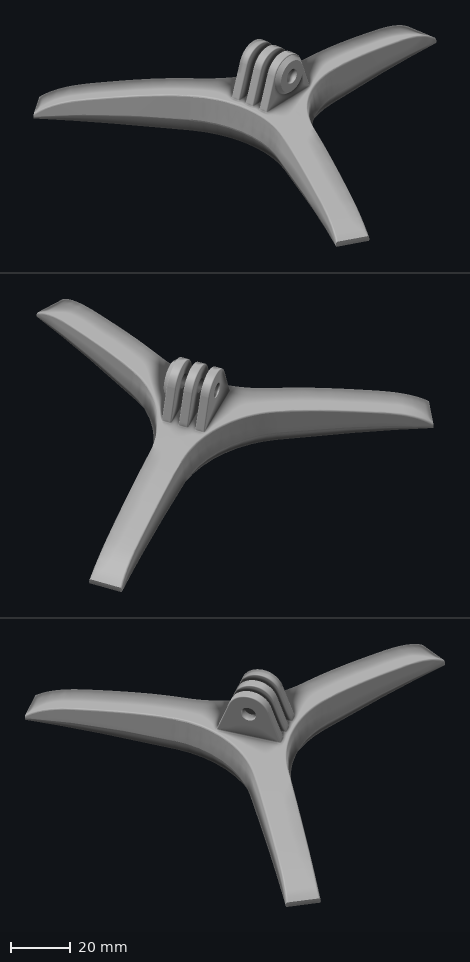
import cadquery as cq
import math

ARM_COUNT = 3
OVERALL_WIDTH = 143.8
TIP_HALF_WIDTH = 6.0
LOWER_ARM_SLOPE = math.pi / 2 - math.pi / ARM_COUNT
ARM_REACH = (OVERALL_WIDTH / 2 - TIP_HALF_WIDTH * math.sin(LOWER_ARM_SLOPE)) / math.cos(LOWER_ARM_SLOPE)
ARM_TAPER = math.radians(1.34)
CROTCH_RADIUS = 40.3
TIP_OVERRUN = 0.7

RIDGE_CENTRE_HEIGHT = 5.8
RIDGE_TIP_HEIGHT = 0.6
UPPER_DRAFT = math.radians(9)
LOWER_DRAFT = math.radians(26)
WALL_TOP = 17.3
RIDGE_FILLET = 1.0
RIM_FILLET = 0.7

DOME_HEIGHT = 15.0
DOME_PROFILE = [(0, DOME_HEIGHT), (35.7, 13.7), (59.1, 9.8), (72.0, 6.3), (80.5, 1.2)]
DOME_RIM_SLOPE = (1, -1)

TOTAL_HEIGHT = 32.0
LUG_COUNT = 3
LUG_PITCH = 6.0
LUG_THICKNESS = 3.3
LUG_RADIUS = 7.5
LUG_LEAN = math.radians(19.7)
LUG_ROOT = 13.0
LUG_EDGE_FILLET = 0.5
LUG_FOOT_FILLET = 0.5
PIVOT_HEIGHT = TOTAL_HEIGHT - LUG_RADIUS
PIN_DIAMETER = 5.3
LUG_FOOT_REACH = 12.2
BOSS_RADIUS = LUG_RADIUS - LUG_EDGE_FILLET
BOSS_LENGTH = 1.6
BOSS_TAPER = math.radians(40)
OUTER_LUG_X = LUG_PITCH * (LUG_COUNT - 1) / 2

POINTS_PER_STRETCH = 9

TOLERANCE = 0.07


def ridge_height(radius):
    """Height of the widest level of the walls at a distance from the centre."""
    drop = RIDGE_CENTRE_HEIGHT - RIDGE_TIP_HEIGHT
    return RIDGE_CENTRE_HEIGHT - drop * (radius / ARM_REACH) ** 3


def crotch_stretches():
    """Arm side, round, arm side between the two arms either side of -Y.

    Each stretch is a list of (x, y, angle), angle pointing out of the material.
    """
    half_sweep = LOWER_ARM_SLOPE - ARM_TAPER
    axis_half_width = TIP_HALF_WIDTH + ARM_REACH * math.tan(ARM_TAPER)
    apex = axis_half_width * math.cos(ARM_TAPER) / math.cos(half_sweep)
    centre_y = -apex - CROTCH_RADIUS / math.cos(half_sweep)
    steps = [i / (POINTS_PER_STRETCH - 1) for i in range(POINTS_PER_STRETCH)]

    arc = []
    for step in steps:
        angle = math.pi / 2 + half_sweep * (1 - 2 * step)
        x = CROTCH_RADIUS * math.cos(angle)
        y = centre_y + CROTCH_RADIUS * math.sin(angle)
        arc.append((x, y, angle + math.pi))

    start_x, start_y, normal = arc[0]
    direction = normal - math.pi / 2
    axis = -math.pi / 2 - math.pi / ARM_COUNT
    start_along = start_x * math.cos(axis) + start_y * math.sin(axis)
    length = (ARM_REACH + TIP_OVERRUN - start_along) / math.cos(ARM_TAPER)
    side = []
    for step in steps:
        run = length * (1 - step)
        x = start_x + run * math.cos(direction)
        y = start_y + run * math.sin(direction)
        side.append((x, y, normal))
    other_side = [(-x, y, math.pi - angle) for x, y, angle in reversed(side)]
    return [side, arc, other_side]


def at_ridge(x, y, angle):
    return cq.Vector(x, y, ridge_height(math.hypot(x, y)))


def at_base(x, y, angle):
    inset = ridge_height(math.hypot(x, y)) * math.tan(LOWER_DRAFT)
    return cq.Vector(x - inset * math.cos(angle), y - inset * math.sin(angle), 0)


def at_wall_top(x, y, angle):
    inset = (WALL_TOP - ridge_height(math.hypot(x, y))) * math.tan(UPPER_DRAFT)
    return cq.Vector(x - inset * math.cos(angle), y - inset * math.sin(angle), WALL_TOP)


def outline(level):
    """Closed outline of the foot at one level of its walls."""
    edges = []
    for crotch in range(ARM_COUNT):
        turn = 360 / ARM_COUNT * crotch
        for stretch in crotch_stretches():
            edge = cq.Edge.makeSpline([level(*point) for point in stretch])
            edges.append(edge.rotate(cq.Vector(), cq.Vector(0, 0, 1), turn))

    closed = []
    for edge, following in zip(edges, edges[1:] + edges[:1]):
        closed.append(edge)
        gap_start = edge.endPoint()
        gap_end = following.startPoint()
        if (gap_end - gap_start).Length > TIP_HALF_WIDTH:
            closed.append(cq.Edge.makeLine(gap_start, gap_end))
    return cq.Wire.assembleEdges(closed)


def make_dome():
    rim_radius = DOME_PROFILE[-1][0]
    return (
        cq.Workplane("XZ")
        .moveTo(*DOME_PROFILE[0])
        .spline(DOME_PROFILE[1:], tangents=[(1, 0), DOME_RIM_SLOPE], includeCurrent=True)
        .lineTo(rim_radius, 0)
        .lineTo(0, 0)
        .close()
        .revolve(360, (0, 0), (0, 1))
    )


def long_edges(shape):
    """Edges that run along the walls; those across a tip and the upright ones are shorter."""
    return [edge for edge in shape.Edges() if edge.Length() > 3 * TIP_HALF_WIDTH]


def is_on_ridge(edge):
    middle = edge.positionAt(0.5)
    offset = middle.z - ridge_height(math.hypot(middle.x, middle.y))
    return abs(offset) < TOLERANCE


def make_foot():
    levels = [outline(level) for level in (at_base, at_ridge, at_wall_top)]
    walls = cq.Solid.makeLoft(levels, True)
    ridges = [edge for edge in long_edges(walls) if is_on_ridge(edge)]
    walls = walls.fillet(RIDGE_FILLET, ridges)

    tip_trim = (
        cq.Workplane("XY")
        .polygon(ARM_COUNT, 2 * ARM_REACH / math.cos(math.pi / ARM_COUNT))
        .extrude(WALL_TOP)
        .rotate((0, 0, 0), (0, 0, 1), -90)
    )
    foot = cq.Workplane(walls).intersect(tip_trim).intersect(make_dome()).val()

    rims = [edge for edge in long_edges(foot) if edge.BoundingBox().zmax > 2 * RIDGE_CENTRE_HEIGHT]
    return cq.Workplane(foot.fillet(RIM_FILLET, rims))


def make_lug(centre_x):
    """One hinge lug, unpierced: a round head on flanks that lean out to the foot."""
    tangent_y = LUG_RADIUS * math.cos(LUG_LEAN)
    tangent_z = PIVOT_HEIGHT + LUG_RADIUS * math.sin(LUG_LEAN)
    root_y = tangent_y + (tangent_z - LUG_ROOT) * math.tan(LUG_LEAN)
    return (
        cq.Workplane("YZ", origin=(centre_x - LUG_THICKNESS / 2, 0, 0))
        .moveTo(-root_y, LUG_ROOT)
        .lineTo(-tangent_y, tangent_z)
        .threePointArc((0, TOTAL_HEIGHT), (tangent_y, tangent_z))
        .lineTo(root_y, LUG_ROOT)
        .close()
        .extrude(LUG_THICKNESS)
        .faces("<X or >X")
        .edges("not <Z")
        .fillet(LUG_EDGE_FILLET)
    )


def make_boss():
    """Cone frustum on the outer face of the +X lug, around the pin hole."""
    return (
        cq.Workplane("YZ", origin=(OUTER_LUG_X + LUG_THICKNESS / 2, 0, PIVOT_HEIGHT))
        .circle(BOSS_RADIUS)
        .extrude(BOSS_LENGTH, taper=math.degrees(BOSS_TAPER))
    )


def is_lug_foot(edge, centre_x):
    """True for an edge where the lug at centre_x meets the dome."""
    box = edge.BoundingBox()
    in_lug = max(box.xmax - centre_x, centre_x - box.xmin) < LUG_THICKNESS / 2 + TOLERANCE
    at_dome = box.zmin > LUG_ROOT and box.zmax < DOME_HEIGHT + TOLERANCE
    near_middle = max(box.ymax, -box.ymin) < LUG_FOOT_REACH
    return in_lug and at_dome and near_middle


def make_pin_hole():
    length = 2 * LUG_COUNT * LUG_PITCH
    return (
        cq.Workplane("YZ", origin=(-length / 2, 0, PIVOT_HEIGHT))
        .circle(PIN_DIAMETER / 2)
        .extrude(length)
    )


lug_centres = [OUTER_LUG_X - lug * LUG_PITCH for lug in range(LUG_COUNT)]
part = make_foot()
for centre_x in lug_centres:
    part = part.union(make_lug(centre_x))
lug_feet = [
    edge
    for edge in part.edges().vals()
    if any(is_lug_foot(edge, centre_x) for centre_x in lug_centres)
]
part = part.newObject(lug_feet).fillet(LUG_FOOT_FILLET)
result = part.union(make_boss()).cut(make_pin_hole())